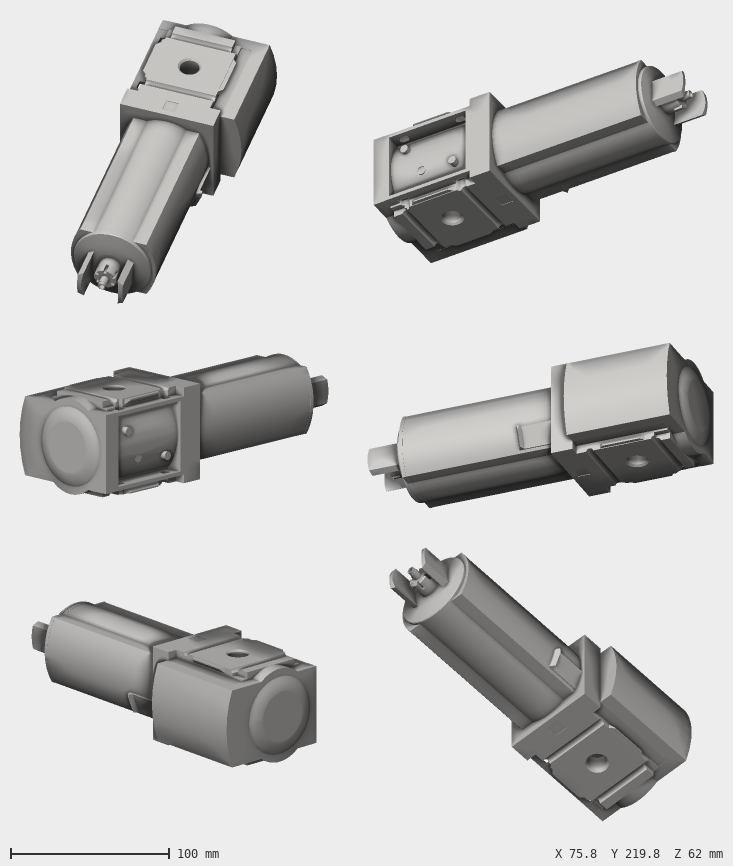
import cadquery as cq


HEAD_WIDTH = 62.0
HEAD_HALF = HEAD_WIDTH / 2
HEAD_FRONT_Y = -45.7
FRAME_FRONT_Y = -31.1
FRAME_HALF_HEIGHT = 25.6
WALL_HALF_HEIGHT = 25.4
PAD_HALF_WIDTH = 24.0
BACK_Y = 39.2
COVER_RIGHT_X = 44.8
COVER_EDGE_X = 40.0
BUMP_HALF_WIDTH = 15.3

GROOVE_DIAMETER = 5.0
GROOVE_Y = 22.2
GROOVE_DEPTH = 2.0
CORNER_X = 19.9
CORNER_Y = 21.8
CORNER_HALF_HEIGHT = 26.8
PORT_DIAMETER = 12.5
PORT_MOUTH_DIAMETER = 15.0
PORT_MOUTH_DEPTH = 1.2
PORT_DEPTH = 14.0
RIB_REACH = 2.7
RIB_HALF_LENGTH = 15.2
RIB_BOTTOM = 27.0
RIB_TOP = 30.6
LABEL_SIZE = 8.3
LABEL_Y = -37.7
LABEL_DEPTH = 0.3

WINDOW_HALF_LENGTH = 28.0
WINDOW_HALF_HEIGHT = 22.9
WINDOW_FLOOR_X = -20.0
DRUM_LEFT_X = -28.5
DRUM_EDGE_X = -21.0
DRUM_HALF_HEIGHT = 20.8
STUD_DIAMETER = 5.5
STUD_END_X = -30.1
STUD_CENTRES = [(17.5, 10.9), (-17.5, -11.0)]
SEAT_CENTRE = (6.3, -8.7)
SEAT_X = -27.3
SLOT_OUTER_X = -27.4
SLOT_NEAR_Y = 17.1
SLOT_FAR_Y = 23.9
NOTCH_X = -22.3
NOTCH_NEAR_Y = 18.6
NOTCH_FAR_Y = 22.7

DOME_RADIUS = 25.7
DOME_FLAT_RADIUS = 16.5
DOME_MID_RADIUS = 21.6
DOME_MID_RISE = 2.0
DOME_HEIGHT = 2.9

BOWL_DIAMETER = 50.36
BOWL_HALF_WIDTH = 28.0
BOWL_FLAT_Z = 21.55
BOWL_CORNER_X = 21.8
COLLAR_Y = -148.4
COLLAR_GROWTH = 0.15
BOWL_END_Y = -150.9
RIM_RADIUS = 25.7
RIM_INNER_RADIUS = 25.3
RIM_BEVEL = 0.6
RIM_END_Y = -153.1
CAP_FLAT_RADIUS = 10.3
CAP_MID_RADIUS = 18.0
CAP_MID_Y = -154.8
CAP_END_Y = -155.85

KNOB_DIAMETER = 15.0
KNOB_END_Y = -167.3
KNOB_BEVEL = 0.5
KNOB_SLOTS = 6
KNOB_SLOT_WIDTH = 2.0
KNOB_SLOT_FLOOR_RADIUS = 5.0
KNOB_SLOT_LENGTH = 5.5
NOZZLE_DIAMETER = 5.5
NOZZLE_TIP_DIAMETER = 5.0
NOZZLE_BORE = 3.8
NOZZLE_TIP_Y = -172.3
NOZZLE_END_Y = -174.4
WING_OUTER_X = 15.0
WING_INNER_X = 11.2
WING_MID_X = 12.3
WING_OUTER_HALF_HEIGHT = 7.7
WING_INNER_HALF_HEIGHT = 9.9
WING_END_BULGE = 1.9
OVERALL_LENGTH = 219.83
WING_END_Y = BACK_Y + DOME_HEIGHT - OVERALL_LENGTH

LATCH_TOP = (28.3, -6.5)
LATCH_BOTTOM = (22.7, -19.8)
LATCH_ROOT = 2.0
LATCH_BAR = 1.0
LATCH_TIP = 4.3
LATCH_LIMIT_X = 31.2
LATCH_BAR_END_Y = -66.6
LATCH_TIP_Y = -68.3
LATCH_END_Y = -70.3


def block(x0, x1, y0, y1, z0, z1):
    """Box between two opposite corners."""
    return cq.Workplane("XY").box(x1 - x0, y1 - y0, z1 - z0, centered=False).translate((x0, y0, z0))


def xz_plane(y):
    """Workplane at the given Y whose extrusions run toward -Y."""
    return cq.Workplane("XZ", origin=(0, y, 0))


def y_cylinder(radius, y_start, y_end):
    return xz_plane(y_start).circle(radius).extrude(y_start - y_end)


def x_cylinder(centre_yz, diameter, x0, x1):
    return cq.Workplane("YZ", origin=(x0, 0, 0)).center(*centre_yz).circle(diameter / 2).extrude(x1 - x0)


def both_z(shape):
    """The shape together with its mirror image below Z = 0."""
    return shape.union(shape.mirror("XY"))


def back_bump():
    """Bulge of the back plate, as wide as its chord and as high as the pads."""
    return (
        xz_plane(BACK_Y)
        .moveTo(-BUMP_HALF_WIDTH, 0)
        .lineTo(-BUMP_HALF_WIDTH, FRAME_HALF_HEIGHT)
        .threePointArc((0, HEAD_HALF), (BUMP_HALF_WIDTH, FRAME_HALF_HEIGHT))
        .lineTo(BUMP_HALF_WIDTH, 0)
        .close()
        .extrude(BACK_Y - HEAD_HALF)
    )


def side_cover():
    """Side cover on +X with a rounded outer face."""
    return (
        xz_plane(BACK_Y)
        .moveTo(HEAD_HALF, -FRAME_HALF_HEIGHT)
        .lineTo(COVER_EDGE_X, -FRAME_HALF_HEIGHT)
        .threePointArc((COVER_RIGHT_X, 0), (COVER_EDGE_X, FRAME_HALF_HEIGHT))
        .lineTo(HEAD_HALF, FRAME_HALF_HEIGHT)
        .close()
        .extrude(BACK_Y - FRAME_FRONT_Y)
    )


def rear_dome():
    return (
        cq.Workplane("XY")
        .moveTo(0, BACK_Y)
        .lineTo(DOME_RADIUS, BACK_Y)
        .threePointArc((DOME_MID_RADIUS, BACK_Y + DOME_MID_RISE), (DOME_FLAT_RADIUS, BACK_Y + DOME_HEIGHT))
        .lineTo(0, BACK_Y + DOME_HEIGHT)
        .close()
        .revolve(360, (0, 0, 0), (0, 1, 0))
    )


def pad_ribs():
    """Ribs with bevelled ends and sloping undersides along both sides of the pads."""
    outer_x = PAD_HALF_WIDTH + RIB_REACH
    end_y = RIB_HALF_LENGTH - RIB_REACH
    section = (
        xz_plane(RIB_HALF_LENGTH)
        .polyline([
            (PAD_HALF_WIDTH, RIB_BOTTOM),
            (outer_x, RIB_BOTTOM + RIB_REACH),
            (outer_x, RIB_TOP),
            (PAD_HALF_WIDTH, RIB_TOP),
        ])
        .close()
        .extrude(2 * RIB_HALF_LENGTH)
    )
    plan = (
        cq.Workplane("XY")
        .polyline([
            (PAD_HALF_WIDTH, -RIB_HALF_LENGTH),
            (outer_x, -end_y),
            (outer_x, end_y),
            (PAD_HALF_WIDTH, RIB_HALF_LENGTH),
        ])
        .close()
        .extrude(HEAD_HALF)
    )
    rib = section.intersect(plan)
    return both_z(rib.union(rib.mirror("YZ")))


def pad_cuts():
    """Grooves, stepped corners, port and label recess of the +Z pad, mirrored to -Z."""
    groove_z = HEAD_HALF - GROOVE_DEPTH + GROOVE_DIAMETER / 2
    cuts = (
        cq.Workplane("XY", origin=(0, 0, HEAD_HALF - PORT_DEPTH))
        .circle(PORT_DIAMETER / 2)
        .extrude(PORT_DEPTH)
    )
    mouth = cq.Solid.makeCone(
        PORT_DIAMETER / 2, PORT_MOUTH_DIAMETER / 2, PORT_MOUTH_DEPTH,
        pnt=cq.Vector(0, 0, HEAD_HALF - PORT_MOUTH_DEPTH),
    )
    cuts = cuts.union(cq.Workplane(mouth))
    for side in (-1, 1):
        cuts = cuts.union(
            x_cylinder((side * GROOVE_Y, groove_z), GROOVE_DIAMETER, -PAD_HALF_WIDTH, PAD_HALF_WIDTH)
        )
        x0, x1 = sorted((side * CORNER_X, side * PAD_HALF_WIDTH))
        cuts = cuts.union(block(x0, x1, CORNER_Y, HEAD_HALF, CORNER_HALF_HEIGHT, HEAD_HALF))
    label = block(
        -LABEL_SIZE / 2, LABEL_SIZE / 2,
        LABEL_Y - LABEL_SIZE / 2, LABEL_Y + LABEL_SIZE / 2,
        HEAD_HALF - LABEL_DEPTH, HEAD_HALF,
    )
    return both_z(cuts.union(label))


def window():
    """Opening in the -X side that leaves a curved drum with studs standing inside it."""
    opening = block(
        -HEAD_HALF, WINDOW_FLOOR_X,
        -WINDOW_HALF_LENGTH, WINDOW_HALF_LENGTH,
        -WINDOW_HALF_HEIGHT, WINDOW_HALF_HEIGHT,
    )
    drum = (
        xz_plane(WINDOW_HALF_LENGTH)
        .moveTo(WINDOW_FLOOR_X, -DRUM_HALF_HEIGHT)
        .lineTo(DRUM_EDGE_X, -DRUM_HALF_HEIGHT)
        .threePointArc((DRUM_LEFT_X, 0), (DRUM_EDGE_X, DRUM_HALF_HEIGHT))
        .lineTo(WINDOW_FLOOR_X, DRUM_HALF_HEIGHT)
        .close()
        .extrude(2 * WINDOW_HALF_LENGTH)
    )
    drum = drum.cut(x_cylinder(SEAT_CENTRE, STUD_DIAMETER, -HEAD_HALF, SEAT_X))
    drum = drum.union(x_cylinder(SEAT_CENTRE, STUD_DIAMETER, SEAT_X, WINDOW_FLOOR_X))
    for centre in STUD_CENTRES:
        drum = drum.union(x_cylinder(centre, STUD_DIAMETER, STUD_END_X, WINDOW_FLOOR_X))
    return opening.cut(drum)


def clip_slots():
    """Slots through the -X wall into the window, each with a tapered notch in the pad beside it."""
    slot = block(
        SLOT_OUTER_X, -PAD_HALF_WIDTH, SLOT_NEAR_Y, SLOT_FAR_Y, WINDOW_HALF_HEIGHT, HEAD_HALF
    )
    notch = (
        cq.Workplane("XY", origin=(0, 0, WINDOW_HALF_HEIGHT))
        .polyline([
            (-PAD_HALF_WIDTH, SLOT_NEAR_Y),
            (NOTCH_X, NOTCH_NEAR_Y),
            (NOTCH_X, NOTCH_FAR_Y),
            (-PAD_HALF_WIDTH, SLOT_FAR_Y),
        ])
        .close()
        .extrude(HEAD_HALF - WINDOW_HALF_HEIGHT)
    )
    pair = slot.union(notch)
    return both_z(pair.union(pair.mirror("XZ")))


def make_head():
    head = block(-HEAD_HALF, HEAD_HALF, HEAD_FRONT_Y, FRAME_FRONT_Y, -HEAD_HALF, HEAD_HALF)
    head = head.union(
        block(-PAD_HALF_WIDTH, PAD_HALF_WIDTH, FRAME_FRONT_Y, HEAD_HALF, -HEAD_HALF, HEAD_HALF)
    )
    head = head.union(
        block(-HEAD_HALF, HEAD_HALF, FRAME_FRONT_Y, HEAD_HALF, -WALL_HALF_HEIGHT, WALL_HALF_HEIGHT)
    )
    head = head.union(
        block(-HEAD_HALF, HEAD_HALF, HEAD_HALF, BACK_Y, -FRAME_HALF_HEIGHT, FRAME_HALF_HEIGHT)
    )
    head = head.union(both_z(back_bump())).union(side_cover()).union(rear_dome()).union(pad_ribs())
    return head.cut(pad_cuts()).cut(window()).cut(clip_slots())


def bowl_section(growth, y_start, y_end):
    """Round tube merged with a wider flat-topped shell, enlarged all round by the growth."""
    half_width = BOWL_HALF_WIDTH + growth
    corner_x = BOWL_CORNER_X + growth
    flat_z = BOWL_FLAT_Z + growth
    shell = (
        xz_plane(y_start)
        .moveTo(-corner_x, -flat_z)
        .lineTo(corner_x, -flat_z)
        .threePointArc((half_width, 0), (corner_x, flat_z))
        .lineTo(-corner_x, flat_z)
        .threePointArc((-half_width, 0), (-corner_x, -flat_z))
        .close()
        .extrude(y_start - y_end)
    )
    return shell.union(y_cylinder(BOWL_DIAMETER / 2 + growth, y_start, y_end))


def bowl_cap():
    """Bevelled rim and domed end of the bowl."""
    return (
        cq.Workplane("XY")
        .moveTo(0, BOWL_END_Y)
        .lineTo(RIM_RADIUS, BOWL_END_Y)
        .lineTo(RIM_RADIUS, RIM_END_Y + RIM_BEVEL)
        .lineTo(RIM_INNER_RADIUS, RIM_END_Y)
        .threePointArc((CAP_MID_RADIUS, CAP_MID_Y), (CAP_FLAT_RADIUS, CAP_END_Y))
        .lineTo(0, CAP_END_Y)
        .close()
        .revolve(360, (0, 0, 0), (0, 1, 0))
    )


def drain_knob():
    """Slotted drain knob with its hose nozzle."""
    knob = y_cylinder(KNOB_DIAMETER / 2, CAP_END_Y, KNOB_END_Y).faces("<Y").chamfer(KNOB_BEVEL)
    slot = block(
        -KNOB_SLOT_WIDTH / 2, KNOB_SLOT_WIDTH / 2,
        KNOB_END_Y, KNOB_END_Y + KNOB_SLOT_LENGTH,
        KNOB_SLOT_FLOOR_RADIUS, KNOB_DIAMETER,
    )
    for index in range(KNOB_SLOTS):
        knob = knob.cut(slot.rotate((0, 0, 0), (0, 1, 0), index * 360 / KNOB_SLOTS))
    nozzle = y_cylinder(NOZZLE_DIAMETER / 2, KNOB_END_Y, NOZZLE_TIP_Y)
    tip = y_cylinder(NOZZLE_TIP_DIAMETER / 2, NOZZLE_TIP_Y, NOZZLE_END_Y)
    bore = y_cylinder(NOZZLE_BORE / 2, KNOB_END_Y, NOZZLE_END_Y)
    return knob.union(nozzle).union(tip).cut(bore)


def guard_wing():
    """Guard wing on +X with a hollow inner face and a rounded end."""
    wing = (
        xz_plane(RIM_END_Y)
        .moveTo(WING_INNER_X, -WING_INNER_HALF_HEIGHT)
        .lineTo(WING_OUTER_X, -WING_OUTER_HALF_HEIGHT)
        .lineTo(WING_OUTER_X, WING_OUTER_HALF_HEIGHT)
        .lineTo(WING_INNER_X, WING_INNER_HALF_HEIGHT)
        .threePointArc((WING_MID_X, 0), (WING_INNER_X, -WING_INNER_HALF_HEIGHT))
        .close()
        .extrude(RIM_END_Y - WING_END_Y)
    )
    corner_y = WING_END_Y + WING_END_BULGE
    side_outline = (
        cq.Workplane("YZ")
        .moveTo(RIM_END_Y, -WING_INNER_HALF_HEIGHT)
        .lineTo(corner_y, -WING_INNER_HALF_HEIGHT)
        .threePointArc((WING_END_Y, 0), (corner_y, WING_INNER_HALF_HEIGHT))
        .lineTo(RIM_END_Y, WING_INNER_HALF_HEIGHT)
        .close()
        .extrude(WING_OUTER_X)
    )
    return wing.intersect(side_outline)


def release_latch():
    """Sloping latch bar on the bowl, ending in a pointed nose."""
    top_x, top_z = LATCH_TOP
    bottom_x, bottom_z = LATCH_BOTTOM
    root_x = top_x - LATCH_ROOT
    outline = [
        (root_x, HEAD_FRONT_Y),
        (top_x + LATCH_BAR, HEAD_FRONT_Y),
        (top_x + LATCH_BAR, LATCH_BAR_END_Y),
        (top_x + LATCH_TIP, LATCH_TIP_Y),
        (top_x + LATCH_BAR, LATCH_END_Y),
        (root_x, LATCH_END_Y),
    ]
    wire = cq.Wire.makePolygon([cq.Vector(x, y, top_z) for x, y in outline], close=True)
    slope = cq.Vector(bottom_x - top_x, 0, bottom_z - top_z)
    latch = cq.Workplane(cq.Solid.extrudeLinear(wire, [], slope))
    return latch.intersect(block(0, LATCH_LIMIT_X, LATCH_END_Y, HEAD_FRONT_Y, bottom_z, top_z))


def make_bowl():
    bowl = bowl_section(0, HEAD_FRONT_Y, COLLAR_Y)
    bowl = bowl.union(bowl_section(COLLAR_GROWTH, COLLAR_Y, BOWL_END_Y))
    bowl = bowl.union(bowl_cap()).union(drain_knob())
    bowl = bowl.union(guard_wing()).union(guard_wing().mirror("YZ"))
    return bowl.union(release_latch())


head = make_head()
bowl = make_bowl()
result = cq.Compound.makeCompound([head.val(), bowl.val()])